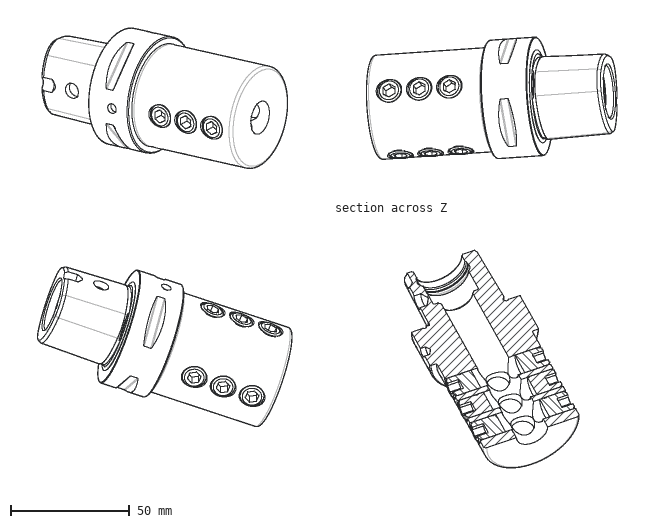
import cadquery as cq
import math

TOTAL_LENGTH = 100.0

FLANGE_START = 30.0
FLANGE_END = 50.0
FLANGE_RADIUS = 25.0
FLANGE_FRONT_CHAMFER = 0.3
FLANGE_BACK_CHAMFER = 0.5

BOSS_HEIGHT = 0.5
BOSS_RADIUS = 17.9
RELIEF_OUTER_RADIUS = 19.6
RELIEF_BOTTOM_RADIUS = 18.8
RELIEF_DEPTH = 0.4

BARREL_RADIUS = 22.0
BARREL_END_FILLET = 1.2
COLLAR_LENGTH = 1.0
COLLAR_RISE = 0.1

LOBE_CENTRE_RADIUS = 8.0
LOBE_RADIUS = 10.6
TAPER_END = 28.0
TAPER_SLOPE = 0.025
TIP_CHAMFER_LENGTH = 1.4
TIP_CHAMFER_DEPTH = 0.8

NECK_STEP = 0.2
NECK_CONE_START = 28.4
NECK_CONE_END = 29.0
NECK_TRIM_RADIUS = 17.6

MOUTH_RADIUS = 11.7
LEAD_RADIUS = 11.0
LEAD_DEPTH = 4.0
GROOVE_STEP_RADIUS = 11.5
GROOVE_STEP_END = 5.7
GROOVE_RADIUS = 11.8
GROOVE_FILLET = 1.5
GROOVE_CONE_END = 9.3
WIDE_BORE_RADIUS = 10.3
WIDE_BORE_DEPTH = 20.0
WIDE_BORE_FILLET = 0.6
NARROW_MOUTH_RADIUS = 8.2
NARROW_BORE_RADIUS = 7.1

NOTCH_POINT_ANGLE = 90.0
NOTCH_RADIUS = 3.3
NOTCH_LENGTH = 5.5
NOTCH_AXIS_Y = -17.1
SIDE_HOLE_POINT_ANGLE = 118.0
SHANK_HOLE_X = 16.0
SHANK_HOLE_RADIUS = 3.3
SHANK_HOLE_FLOOR_Y = -13.0
FLANGE_HOLE_X = 41.9
FLANGE_HOLE_RADIUS = 2.1
FLANGE_HOLE_DEPTH = 2.4

SLOT_CENTRE_X = 40.0
SLOT_FLOOR_RADIUS = 22.3
SLOT_FLOOR_WIDTH = 3.5
SLOT_WALL_ANGLE = 30.0
SLOT_CORNER_RADIUS = 0.5
SLOT_ANGLES = (45.0, 135.0, 225.0, 315.0)

SCREW_FIRST_X = 64.0
SCREW_PITCH = 13.0
SCREWS_PER_ROW = 3
SCREW_ROW_TURNS = (0.0, 90.0, 180.0)
SCREW_RADIUS = 5.0
SCREW_LENGTH = 12.0
SCREW_CHAMFER = 0.9
SOCKET_ACROSS_FLATS = 5.0
SOCKET_DEPTH = 5.0
COUNTERSINK_DEPTH = 0.5


def turned(profile):
    """Revolve a closed profile, drawn as (x, radius), about the X axis."""
    return profile.close().revolve(360, (0, 0, 0), (1, 0, 0))


def rotated_about_axis(body, angle):
    return body.rotate((0, 0, 0), (1, 0, 0), angle)


def polar(radius, angle):
    turn = math.radians(angle)
    return (radius * math.cos(turn), radius * math.sin(turn))


def lobed_outline(x, lobe_radius):
    """Rounded triangle in the plane at x: three lobe arcs joined tangentially by three wide arcs."""
    wide_radius = lobe_radius + math.sqrt(3) * LOBE_CENTRE_RADIUS

    def lobe_point(lobe_angle, normal_angle):
        centre = polar(LOBE_CENTRE_RADIUS, lobe_angle)
        offset = polar(lobe_radius, normal_angle)
        return (centre[0] + offset[0], centre[1] + offset[1])

    outline = cq.Workplane("YZ", origin=(x, 0, 0)).moveTo(*lobe_point(0, -30))
    for lobe in (0, 120, 240):
        lobe_crest = lobe_point(lobe, lobe)
        wide_crest = polar(wide_radius - LOBE_CENTRE_RADIUS, lobe + 60)
        outline = outline.threePointArc(lobe_crest, lobe_point(lobe, lobe + 30))
        outline = outline.threePointArc(wide_crest, lobe_point(lobe + 120, lobe + 90))
    return outline.close().val()


def lobed_frustum(x_start, start_radius, x_end, end_radius):
    ends = [lobed_outline(x_start, start_radius), lobed_outline(x_end, end_radius)]
    return cq.Workplane(cq.Solid.makeLoft(ends, True))


def make_shank():
    chamfer_radius = LOBE_RADIUS - TAPER_SLOPE * (TAPER_END - TIP_CHAMFER_LENGTH)
    tip = lobed_frustum(0, chamfer_radius - TIP_CHAMFER_DEPTH, TIP_CHAMFER_LENGTH, chamfer_radius)
    taper = lobed_frustum(TIP_CHAMFER_LENGTH, chamfer_radius, TAPER_END, LOBE_RADIUS)
    return tip.union(taper)


def make_neck():
    """Lobed neck whose lobes are turned down to a cone and a cylinder."""
    neck_radius = LOBE_RADIUS - NECK_STEP
    neck = lobed_frustum(TAPER_END, neck_radius, FLANGE_START, neck_radius)
    crest = LOBE_CENTRE_RADIUS + LOBE_RADIUS
    trim = turned(
        cq.Workplane("XY")
        .moveTo(TAPER_END, 0)
        .lineTo(TAPER_END, crest)
        .lineTo(NECK_CONE_START, crest)
        .lineTo(NECK_CONE_END, NECK_TRIM_RADIUS)
        .lineTo(FLANGE_START, NECK_TRIM_RADIUS)
        .lineTo(FLANGE_START, 0)
    )
    return neck.intersect(trim)


def make_flange_and_barrel():
    """Flange with its relief groove, and the barrel with a slightly conical collar behind the flange."""
    body = turned(
        cq.Workplane("XY")
        .moveTo(FLANGE_START - BOSS_HEIGHT, 0)
        .lineTo(FLANGE_START - BOSS_HEIGHT, BOSS_RADIUS)
        .threePointArc(
            (FLANGE_START + RELIEF_DEPTH, RELIEF_BOTTOM_RADIUS),
            (FLANGE_START, RELIEF_OUTER_RADIUS),
        )
        .lineTo(FLANGE_START, FLANGE_RADIUS - FLANGE_FRONT_CHAMFER)
        .lineTo(FLANGE_START + FLANGE_FRONT_CHAMFER, FLANGE_RADIUS)
        .lineTo(FLANGE_END - FLANGE_BACK_CHAMFER, FLANGE_RADIUS)
        .lineTo(FLANGE_END, FLANGE_RADIUS - FLANGE_BACK_CHAMFER)
        .lineTo(FLANGE_END, BARREL_RADIUS + COLLAR_RISE)
        .lineTo(FLANGE_END + COLLAR_LENGTH, BARREL_RADIUS)
        .lineTo(TOTAL_LENGTH, BARREL_RADIUS)
        .lineTo(TOTAL_LENGTH, 0)
    )
    return body.faces(">X").edges().fillet(BARREL_END_FILLET)


def make_bore():
    """Stepped through bore, with a gripping groove that ends in a filleted 45 degree cone."""
    mouth_chamfer = MOUTH_RADIUS - LEAD_RADIUS
    groove_entry = GROOVE_STEP_RADIUS - LEAD_RADIUS
    groove_step = GROOVE_RADIUS - GROOVE_STEP_RADIUS
    narrow_chamfer = NARROW_MOUTH_RADIUS - NARROW_BORE_RADIUS
    sharp_corner_x = GROOVE_CONE_END - (GROOVE_RADIUS - WIDE_BORE_RADIUS)
    fillet_start_x = sharp_corner_x - GROOVE_FILLET * math.tan(math.radians(22.5))

    def fillet_point(normal_angle):
        offset = polar(GROOVE_FILLET, normal_angle)
        return (fillet_start_x + offset[0], GROOVE_RADIUS - GROOVE_FILLET + offset[1])

    floor_arc = polar(WIDE_BORE_FILLET, 45)
    floor_arc_middle = (
        WIDE_BORE_DEPTH - WIDE_BORE_FILLET + floor_arc[0],
        WIDE_BORE_RADIUS - WIDE_BORE_FILLET + floor_arc[1],
    )
    return turned(
        cq.Workplane("XY")
        .moveTo(0, 0)
        .lineTo(0, MOUTH_RADIUS)
        .lineTo(mouth_chamfer, LEAD_RADIUS)
        .lineTo(LEAD_DEPTH, LEAD_RADIUS)
        .lineTo(LEAD_DEPTH + groove_entry, GROOVE_STEP_RADIUS)
        .lineTo(GROOVE_STEP_END, GROOVE_STEP_RADIUS)
        .lineTo(GROOVE_STEP_END + groove_step, GROOVE_RADIUS)
        .lineTo(*fillet_point(90))
        .threePointArc(fillet_point(67.5), fillet_point(45))
        .lineTo(GROOVE_CONE_END, WIDE_BORE_RADIUS)
        .lineTo(WIDE_BORE_DEPTH - WIDE_BORE_FILLET, WIDE_BORE_RADIUS)
        .threePointArc(floor_arc_middle, (WIDE_BORE_DEPTH, WIDE_BORE_RADIUS - WIDE_BORE_FILLET))
        .lineTo(WIDE_BORE_DEPTH, NARROW_MOUTH_RADIUS)
        .lineTo(WIDE_BORE_DEPTH + narrow_chamfer, NARROW_BORE_RADIUS)
        .lineTo(TOTAL_LENGTH, NARROW_BORE_RADIUS)
        .lineTo(TOTAL_LENGTH, 0)
    )


def make_drill(radius, length, point_angle):
    """Drill-shaped cutter along +X: a cylinder from x = 0 to length, then a conical point."""
    point_length = radius / math.tan(math.radians(point_angle / 2))
    return turned(
        cq.Workplane("XY")
        .moveTo(0, 0)
        .lineTo(0, radius)
        .lineTo(length, radius)
        .lineTo(length + point_length, 0)
    )


def make_notch():
    notch = make_drill(NOTCH_RADIUS, NOTCH_LENGTH, NOTCH_POINT_ANGLE)
    return notch.translate((0, NOTCH_AXIS_Y, 0))


def make_side_drill(x, radius, floor_y):
    """Drill entering along +Y from the flange radius, with its full width ending at floor_y."""
    drill = make_drill(radius, FLANGE_RADIUS + floor_y, SIDE_HOLE_POINT_ANGLE)
    drill = drill.rotate((0, 0, 0), (0, 0, 1), 90)
    return drill.translate((x, -FLANGE_RADIUS, 0))


def make_slot():
    """Flared slot cutter with rounded floor corners, cutting a chord on the +Z side."""
    depth = FLANGE_RADIUS - SLOT_FLOOR_RADIUS
    floor_half = SLOT_FLOOR_WIDTH / 2
    top_half = floor_half + depth * math.tan(math.radians(SLOT_WALL_ANGLE))
    corners = [
        (SLOT_CENTRE_X - floor_half, SLOT_FLOOR_RADIUS),
        (SLOT_CENTRE_X + floor_half, SLOT_FLOOR_RADIUS),
        (SLOT_CENTRE_X + top_half, FLANGE_RADIUS),
        (SLOT_CENTRE_X - top_half, FLANGE_RADIUS),
    ]
    slot = cq.Workplane("XZ").polyline(corners).close().extrude(FLANGE_RADIUS, both=True)
    return slot.edges("<Z and |Y").fillet(SLOT_CORNER_RADIUS)


def placed_at_screws(body):
    """Copies of a body modelled on the -Y side at x = 0, one for every screw position."""
    copies = []
    for turn in SCREW_ROW_TURNS:
        for index in range(SCREWS_PER_ROW):
            moved = body.translate((SCREW_FIRST_X + index * SCREW_PITCH, 0, 0))
            copies.append(rotated_about_axis(moved, turn))
    return copies


def outward_plane():
    """Sketch plane touching the barrel at -Y, with its normal pointing outward."""
    return cq.Workplane("XZ", origin=(0, -BARREL_RADIUS, 0))


def make_screw_hole():
    """Radial hole from the barrel surface into the bore, with a 45 degree countersink."""
    hole = outward_plane().circle(SCREW_RADIUS).extrude(-BARREL_RADIUS)
    countersink = (
        outward_plane()
        .circle(SCREW_RADIUS + COUNTERSINK_DEPTH)
        .workplane(offset=-COUNTERSINK_DEPTH)
        .circle(SCREW_RADIUS)
        .loft()
    )
    return hole.union(countersink)


def make_screw():
    """Chamfered grub screw with a hexagon socket whose corners point along Z."""
    screw = outward_plane().circle(SCREW_RADIUS).extrude(-SCREW_LENGTH)
    screw = screw.faces("<Y").chamfer(SCREW_CHAMFER)
    corner_circle = SOCKET_ACROSS_FLATS / math.cos(math.radians(30))
    socket = outward_plane().polygon(6, corner_circle).extrude(-SOCKET_DEPTH)
    socket = socket.rotate((0, 0, 0), (0, 1, 0), 30)
    return screw.cut(socket)


def make_housing():
    housing = make_flange_and_barrel().union(make_neck()).union(make_shank())
    housing = housing.cut(make_bore()).cut(make_notch())
    housing = housing.cut(make_side_drill(SHANK_HOLE_X, SHANK_HOLE_RADIUS, SHANK_HOLE_FLOOR_Y))
    flange_hole_floor = FLANGE_HOLE_DEPTH - FLANGE_RADIUS
    housing = housing.cut(make_side_drill(FLANGE_HOLE_X, FLANGE_HOLE_RADIUS, flange_hole_floor))
    for angle in SLOT_ANGLES:
        housing = housing.cut(rotated_about_axis(make_slot(), angle))
    for hole in placed_at_screws(make_screw_hole()):
        housing = housing.cut(hole)
    return housing


housing = make_housing()
screws = placed_at_screws(make_screw())
result = cq.Compound.makeCompound([housing.val(), *[screw.val() for screw in screws]])